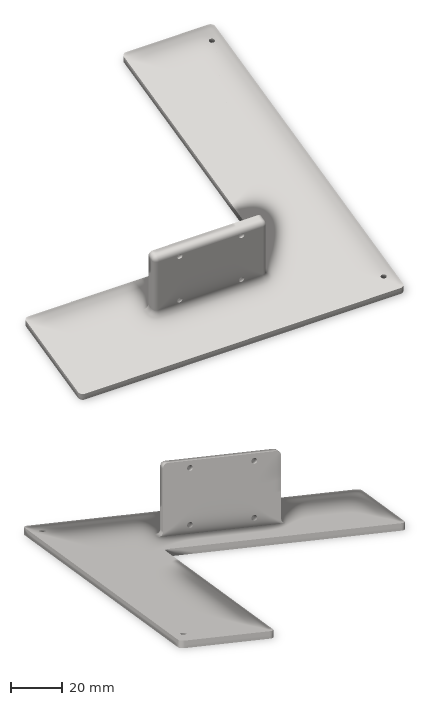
import cadquery as cq

plate_length = 170.0
plate_width = 142.0
plate_thickness = 3.0
arm_width = 40.0
leg_width = 50.0
round_radius = 2.0
hole_diameter = 2.4

plate_hole_side_margin = 9.0
plate_hole_back_margin = 5.0

total_height = 33.0
tab_height = total_height - plate_thickness
tab_thickness = 5.0
tab_width = 49.6
tab_left = 136.5
tab_back_margin = 46.0
tab_center_y = plate_width - tab_back_margin - tab_width / 2

tab_hole_pitch_y = 27.0
tab_hole_pitch_z = 23.3
tab_hole_top_margin = 3.0
upper_hole_z = total_height - tab_hole_top_margin
tab_hole_center_z = upper_hole_z - tab_hole_pitch_z / 2


def make_plate():
    inner_x = plate_length - leg_width
    inner_y = plate_width - arm_width
    outline = [
        (inner_x, 0),
        (plate_length, 0),
        (plate_length, plate_width),
        (0, plate_width),
        (0, inner_y),
        (inner_x, inner_y),
    ]
    plate = cq.Workplane("XY").polyline(outline).close().extrude(plate_thickness)
    return plate.edges("|Z").fillet(round_radius)


def add_tab(plate):
    block = (
        cq.Workplane("XY", origin=(tab_left, tab_center_y, plate_thickness))
        .rect(2 * tab_thickness, tab_width)
        .extrude(tab_height)
        .edges("|X and >Z")
        .fillet(round_radius)
        .faces(">X or <X")
        .edges("not <Z")
        .fillet(round_radius)
    )
    selection_gap = round_radius / 2
    reach_x = tab_thickness + selection_gap
    reach_y = tab_width / 2 + selection_gap
    base_box = cq.selectors.BoxSelector(
        (tab_left - reach_x, tab_center_y - reach_y, plate_thickness - selection_gap),
        (tab_left + reach_x, tab_center_y + reach_y, plate_thickness + selection_gap),
    )
    joined = plate.union(block).edges(base_box).fillet(round_radius)
    left_length = tab_thickness + 2 * round_radius
    left_width = tab_width + 4 * round_radius
    left_half = (
        cq.Workplane("XY", origin=(tab_left - left_length, tab_center_y, plate_thickness))
        .box(left_length, left_width, tab_height, centered=(False, True, False))
    )
    return joined.cut(left_half)


def plate_holes():
    hole_y = plate_width - plate_hole_back_margin
    centers = [(x, hole_y) for x in (plate_hole_side_margin, plate_length - plate_hole_side_margin)]
    return cq.Workplane("XY").pushPoints(centers).circle(hole_diameter / 2).extrude(plate_thickness)


def tab_holes():
    return (
        cq.Workplane("YZ", origin=(tab_left, tab_center_y, tab_hole_center_z))
        .rarray(tab_hole_pitch_y, tab_hole_pitch_z, 2, 2)
        .circle(hole_diameter / 2)
        .extrude(tab_thickness + round_radius)
    )


result = add_tab(make_plate()).cut(plate_holes()).cut(tab_holes())